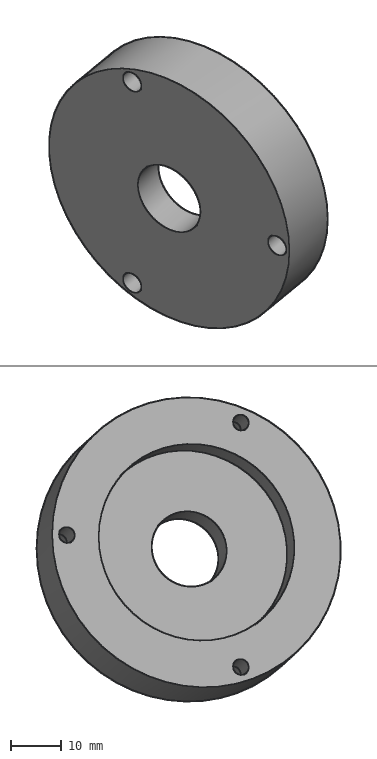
import cadquery as cq

disc_diameter = 59.0
disc_thickness = 13.0

bore_diameter = 15.3
web_thickness = 7.0
recess_diameter = 40.0

screw_circle_radius = 26.5
screw_angles = (0.0, 110.0, -110.0)
screw_hole_diameter = 3.2
counterbore_diameter = 4.5
counterbore_depth = 6.5


def cylinder_along_y(diameter, start, end):
    """Cylinder on the Y axis, running from Y = start to Y = end."""
    return cq.Workplane("XZ", origin=(0, start, 0)).circle(diameter / 2).extrude(start - end)


def stepped_bore_cutter():
    """Central bore with the wider recess behind the web."""
    bore = cylinder_along_y(bore_diameter, 0, disc_thickness)
    recess = cylinder_along_y(recess_diameter, web_thickness, disc_thickness)
    return bore.union(recess)


def screw_hole_cutter(angle):
    """Through hole with a front counterbore, turned from +X towards +Z by angle."""
    through_hole = cylinder_along_y(screw_hole_diameter, 0, disc_thickness)
    counterbore = cylinder_along_y(counterbore_diameter, 0, counterbore_depth)
    cutter = through_hole.union(counterbore).translate((screw_circle_radius, 0, 0))
    return cutter.rotate((0, 0, 0), (0, -1, 0), angle)


disc = cylinder_along_y(disc_diameter, 0, disc_thickness)
disc = disc.cut(stepped_bore_cutter())

for screw_angle in screw_angles:
    disc = disc.cut(screw_hole_cutter(screw_angle))

result = disc